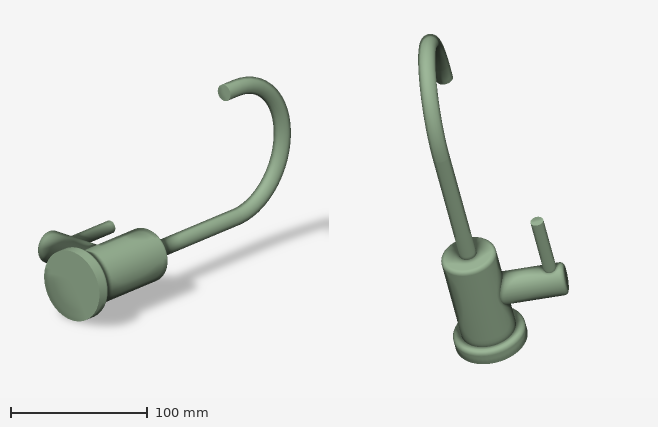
import cadquery as cq

total_length = 237.5

flange_diameter = 54.1
flange_thickness = 11.0
body_diameter = 41.0
body_top = 84.0
edge_round = 3.0

hub_diameter = 24.5
hub_center = 46.8
hub_reach = 65.5

lever_diameter = 9.7
lever_offset = 55.8
lever_tip = 105.0

spout_diameter = 12.5
spout_bend_radius = 50.8
spout_outlet_length = 13.0
spout_bend_start = total_length - spout_bend_radius - spout_diameter / 2


def cylinder_along_y(diameter, start, end, x=0):
    """Cylinder parallel to Y between two Y positions, at Z = 0."""
    return (
        cq.Workplane("XZ", origin=(x, start, 0))
        .circle(diameter / 2)
        .extrude(start - end)
    )


def make_flange():
    flange = cylinder_along_y(flange_diameter, 0, flange_thickness)
    return flange.faces(">Y").edges().fillet(edge_round)


def make_body():
    body = cylinder_along_y(body_diameter, 0, body_top)
    return body.faces(">Y").edges().fillet(edge_round)


def make_hub():
    """Side hub running from the main axis toward -X."""
    hub = (
        cq.Workplane("YZ", origin=(0, hub_center, 0))
        .circle(hub_diameter / 2)
        .extrude(-hub_reach)
    )
    return hub.faces("<X").edges().fillet(edge_round)


def make_lever():
    """Thin rod rising from the hub axis."""
    return cylinder_along_y(lever_diameter, hub_center, lever_tip, -lever_offset)


def make_spout():
    """Straight stem, half-circle bend and short outlet pointing back toward the body."""
    spout_start = body_top / 2
    outlet_height = 2 * spout_bend_radius
    path = (
        cq.Workplane("YZ")
        .moveTo(spout_start, 0)
        .lineTo(spout_bend_start, 0)
        .threePointArc(
            (spout_bend_start + spout_bend_radius, spout_bend_radius),
            (spout_bend_start, outlet_height),
        )
        .lineTo(spout_bend_start - spout_outlet_length, outlet_height)
    )
    return (
        cq.Workplane("XZ", origin=(0, spout_start, 0))
        .circle(spout_diameter / 2)
        .sweep(path)
    )


result = make_flange().union(make_body()).union(make_hub()).union(make_lever()).union(make_spout())